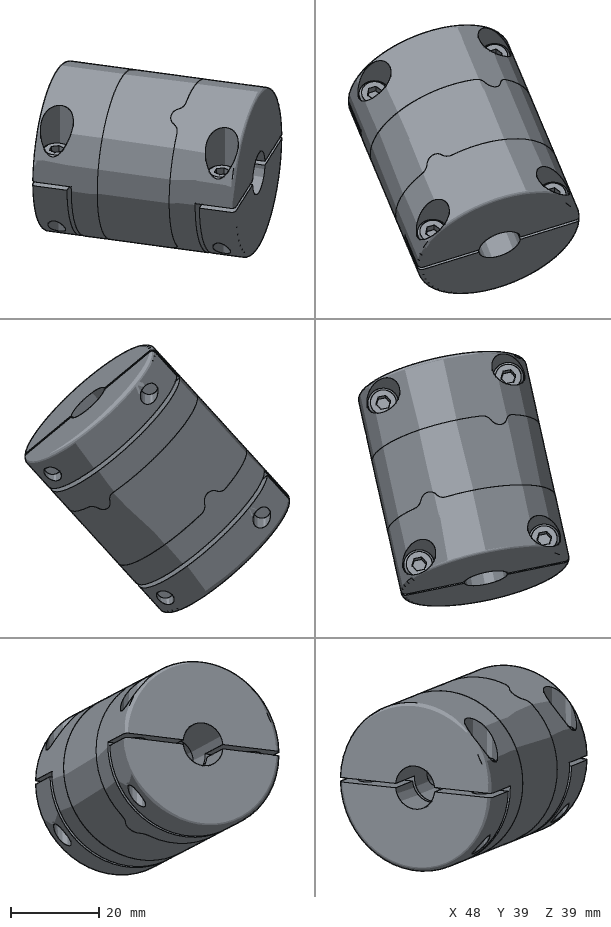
import cadquery as cq
import math

length = 48.0
outer_diameter = 39.0
bore_diameter = 10.0
end_fillet = 1.0
sleeve_width = 17.0

tongue_radius = 2.4
tongue_root_radius = 2.4
tongue_angle = 60.0

slit_width = 1.0
cap_length = 8.35

screw_x = 19.5
screw_y = 14.5
screw_diameter = 4.0
screw_length = 10.0
head_diameter = 7.0
head_height = 4.0
head_chamfer = 0.6
head_top_z = 7.0
counterbore_diameter = 7.5
socket_flats = 3.0
socket_depth = 2.0

outer_radius = outer_diameter / 2
half_length = length / 2
hub_length = (length - sleeve_width) / 2
seam_x = sleeve_width / 2
head_seat_z = head_top_z - head_height
screw_end_z = head_seat_z - screw_length
socket_corners = socket_flats / math.cos(math.pi / 6)
screw_places = [(-screw_x, -screw_y), (-screw_x, screw_y)]


def x_cylinder(diameter, start_x, cylinder_length):
    """Cylinder on the X axis, running toward +X from start_x."""
    return cq.Workplane("YZ", origin=(start_x, 0, 0)).circle(diameter / 2).extrude(cylinder_length)


def z_cylinder(diameter, place, bottom_z, top_z):
    """Vertical cylinder at an (x, y) place."""
    x, y = place
    return cq.Workplane("XY", origin=(x, y, bottom_z)).circle(diameter / 2).extrude(top_z - bottom_z)


def tongue(angle):
    """Rounded tongue on the left seam, pointing to +X and running radially out at an angle from +Y."""
    centre_distance = tongue_radius + tongue_root_radius
    foot = math.sqrt(centre_distance**2 - tongue_root_radius**2)
    neck_x = tongue_radius * tongue_root_radius / centre_distance
    neck_y = tongue_radius * foot / centre_distance
    root_turn = math.acos(tongue_root_radius / centre_distance)
    root_x = tongue_root_radius * (1 - math.cos(root_turn / 2))
    root_y = foot - tongue_root_radius * math.sin(root_turn / 2)
    prism = (
        cq.Workplane("XY", origin=(-seam_x, 0, 0))
        .moveTo(0, -foot)
        .threePointArc((root_x, -root_y), (neck_x, -neck_y))
        .threePointArc((tongue_radius, 0), (neck_x, neck_y))
        .threePointArc((root_x, root_y), (0, foot))
        .close()
        .extrude(outer_diameter)
    )
    prism = prism.rotate((0, 0, 0), (1, 0, 0), angle - 90)
    envelope = x_cylinder(outer_diameter, -half_length, length)
    return prism.intersect(envelope)


def clamp_screw(place):
    """Socket head screw with its head up and its tip inside the cap."""
    head = z_cylinder(head_diameter, place, head_seat_z, head_top_z).faces(">Z").edges().chamfer(head_chamfer)
    socket = (
        cq.Workplane("XY", origin=(*place, head_top_z))
        .transformed(rotate=(0, 0, 30))
        .polygon(6, socket_corners)
        .extrude(-socket_depth)
    )
    shank = z_cylinder(screw_diameter, place, screw_end_z, head_seat_z)
    return head.cut(socket).union(shank)


def clamp_slits():
    """Slit on the bore centre plane and the slit behind the cap, which meet in a corner."""
    slit_end_x = -half_length + cap_length + slit_width
    slit_top_z = slit_width / 2
    profile = [
        (-half_length, slit_top_z),
        (slit_end_x, slit_top_z),
        (slit_end_x, -outer_radius),
        (slit_end_x - slit_width, -outer_radius),
        (slit_end_x - slit_width, -slit_top_z),
        (-half_length, -slit_top_z),
    ]
    return cq.Workplane("XZ").polyline(profile).close().extrude(outer_radius, both=True)


def left_hub():
    """Hub, clamp cap and the two screws that hold them together as one solid."""
    hub = x_cylinder(outer_diameter, -half_length, hub_length).faces("<X").edges().fillet(end_fillet)
    for angle in (-tongue_angle, tongue_angle):
        hub = hub.union(tongue(angle))
    hub = hub.cut(x_cylinder(bore_diameter, -half_length, length))
    hub = hub.cut(clamp_slits())
    for place in screw_places:
        hub = hub.cut(z_cylinder(counterbore_diameter, place, head_seat_z, outer_radius))
        hub = hub.cut(z_cylinder(screw_diameter, place, -outer_radius, head_seat_z))
        hub = hub.union(clamp_screw(place))
    return hub


def middle_sleeve(hubs):
    """Sleeve between the hubs, recessed to take their tongues."""
    sleeve = x_cylinder(outer_diameter, -seam_x, sleeve_width)
    sleeve = sleeve.cut(x_cylinder(bore_diameter, -seam_x, sleeve_width))
    for hub in hubs:
        sleeve = sleeve.cut(hub)
    return sleeve


hubs = [left_hub().rotate((0, 0, 0), (0, 0, 1), turn) for turn in (0, 180)]
sleeve = middle_sleeve(hubs)

solids = sleeve.solids().vals()
for hub in hubs:
    solids.extend(hub.solids().vals())
result = cq.Compound.makeCompound(solids)